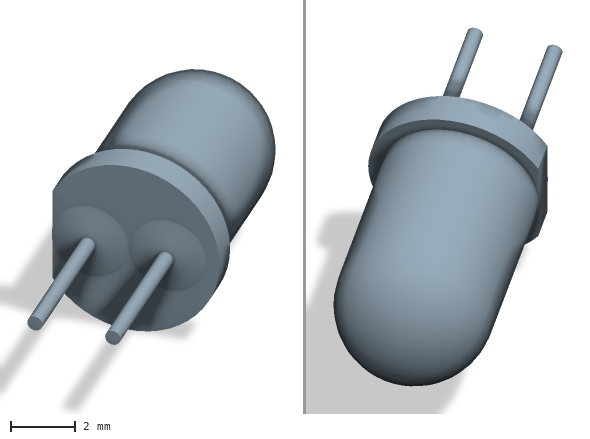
import cadquery as cq

total_length = 13.75
lead_length = 5.14
body_diameter = 5.0
flange_diameter = 5.9
flange_thickness = 1.0
lead_diameter = 0.5
lead_pitch = 2.55
cone_diameter = 2.5
cone_height = 0.2

body_radius = body_diameter / 2
lead_radius = lead_diameter / 2
cone_radius = cone_diameter / 2
tip_y = total_length - lead_length
dome_start_y = tip_y - body_radius


def make_lens():
    """Cylindrical body with a hemispherical dome, revolved about Y."""
    dome_mid = body_radius * 0.5 ** 0.5
    return (
        cq.Workplane("XY")
        .lineTo(body_radius, 0)
        .lineTo(body_radius, dome_start_y)
        .threePointArc((dome_mid, dome_start_y + dome_mid), (0, tip_y))
        .close()
        .revolve(360, (0, 0), (0, 1))
    )


def make_flange():
    """Round rim with a flat on the -X side, tangent to the body."""
    rim = cq.Workplane("XZ").circle(flange_diameter / 2).extrude(-flange_thickness)
    keep_width = body_radius + flange_diameter / 2
    keep = cq.Workplane("XY").box(
        keep_width, flange_thickness, flange_diameter, centered=(False, False, True)
    )
    return rim.intersect(keep.translate((-body_radius, 0, 0)))


def make_lead(x):
    """Straight lead rising from a shallow cone on the flange underside."""
    return (
        cq.Workplane("XY")
        .moveTo(x, flange_thickness / 2)
        .lineTo(x, -lead_length)
        .lineTo(x + lead_radius, -lead_length)
        .lineTo(x + lead_radius, -cone_height)
        .lineTo(x + cone_radius, 0)
        .lineTo(x + lead_radius, 0)
        .lineTo(x + lead_radius, flange_thickness / 2)
        .close()
        .revolve(360, (x, 0), (x, 1))
    )


result = make_lens().union(make_flange())
for lead_x in (-lead_pitch / 2, lead_pitch / 2):
    result = result.union(make_lead(lead_x))